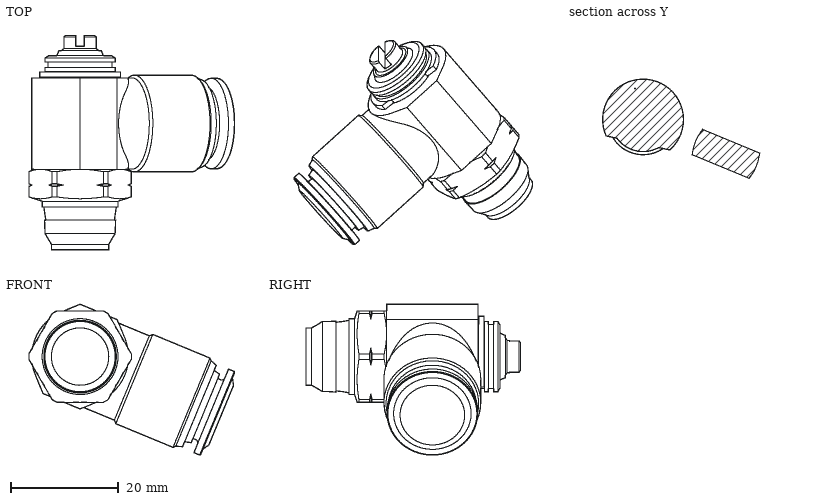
import cadquery as cq
import math

BODY_LENGTH = 17.0
BODY_HALF_WIDTH = 9.0
BODY_FLAT_HALF = BODY_HALF_WIDTH * math.tan(math.radians(22.5))
BODY_ROUND_OFFSET = BODY_HALF_WIDTH * math.cos(math.radians(45))
BODY_TOP = BODY_LENGTH / 2
BODY_BOTTOM = -BODY_LENGTH / 2

ELBOW_TILT = 22.5
NECK_RADIUS = 8.5
COLLAR_RADIUS = 9.0
COLLAR_START = 10.4
COLLAR_CHAMFER = 0.5
COLLAR_END = 22.4
COLLAR_END_CHAMFER = 0.4
CAP_END = 24.0
CAP_END_RADIUS = 8.2
SLEEVE_RADIUS = 7.2
SLEEVE_END = 25.2
SLEEVE_END_RADIUS = 6.9
WAIST_RADIUS = 6.05
WAIST_END = 25.85
WAIST_BEND_REACH = 0.6
WAIST_BEND_RISE = 0.25
RELEASE_START = 26.35
RELEASE_NECK_RADIUS = 6.6
RELEASE_RADIUS = 8.42
RELEASE_CHAMFER = 0.15
RELEASE_END = 27.67
NOSE_BASE_RADIUS = 7.2
NOSE_RADIUS = 6.0
NOSE_END = 28.4

HEX_FLATS = 17.0
HEX_RADIUS = 9.53
HEX_TOP_CHAMFER = 0.45
HEX_BOTTOM_CORNER = -13.64
HEX_BOTTOM = -14.46
HEX_MARK_Y = -11.43
HEX_MARK_RADIUS = 9.05
HEX_MARK_HALF_WIDTH = 0.25

SHOULDER_RADIUS = 7.05
SHOULDER_END = -15.51
RELIEF_TOP_RADIUS = 6.75
RELIEF_BOTTOM_RADIUS = 6.4
THREAD_TOP = -17.92
THREAD_TOP_RADIUS = 6.63
THREAD_BOTTOM = -20.43
THREAD_BOTTOM_RADIUS = 6.53
TIP_TOP = -22.47
TIP_RADIUS = 5.33
TIP_BOTTOM = -23.47

CORE_RADIUS = 5.97
HEAD_RADIUS = 6.55
HEAD_BOTTOM = 9.66
HEAD_GROOVE_BOTTOM = 10.42
HEAD_GROOVE_TOP = 11.38
HEAD_TOP = 12.6
HEAD_CHAMFER_WIDTH = 0.7
HEAD_CHAMFER_HEIGHT = 0.45

GUIDE_BASE_RADIUS = 4.25
GUIDE_TOP_RADIUS = 3.95
GUIDE_BASE_Y = 12.8
GUIDE_FOOT_RADIUS = 4.4
GUIDE_TOP = 13.56
SCREW_FOOT_RADIUS = 3.5
SCREW_BASE = 13.9
SCREW_RADIUS = 3.03
SCREW_TOP = 16.37
SCREW_CHAMFER = 0.3
SLOT_WIDTH = 1.52
SLOT_FLOOR = 14.37

CLIP_RADIUS = 7.53
CLIP_TOP = 9.6
CLIP_BOTTOM = 8.6
CLIP_OPENING_OFFSET = 4.46
CLIP_TURN = 12.5


def at_height(y):
    """Workplane square to Y whose extrusions run toward +Y."""
    return cq.Workplane(cq.Plane(origin=(0, y, 0), xDir=(1, 0, 0), normal=(0, 1, 0)))


def turned(profile):
    """Solid turned about the Y axis from a list of (radius, y) points, closed onto the axis."""
    points = [(0, profile[0][1])] + profile + [(0, profile[-1][1])]
    return cq.Workplane("XY").polyline(points).close().revolve(360, (0, 0, 0), (0, 1, 0))


def make_body():
    """Octagon with two opposite ends rounded; the flats lie parallel to the elbow axis."""
    flat, half, bend = BODY_FLAT_HALF, BODY_HALF_WIDTH, BODY_ROUND_OFFSET
    outline = (
        at_height(BODY_BOTTOM)
        .moveTo(-flat, half)
        .lineTo(flat, half)
        .lineTo(bend, bend)
        .threePointArc((half, 0), (bend, -bend))
        .lineTo(flat, -half)
        .lineTo(-flat, -half)
        .lineTo(-bend, -bend)
        .threePointArc((-half, 0), (-bend, bend))
        .close()
    )
    return outline.extrude(BODY_LENGTH)


def make_elbow():
    """Neck, collar and release sleeve turned about +X, before tilting."""
    waist_middle = (WAIST_END + WAIST_BEND_REACH * (RELEASE_START - WAIST_END),
                    WAIST_RADIUS + WAIST_BEND_RISE * (RELEASE_NECK_RADIUS - WAIST_RADIUS))
    return (
        cq.Workplane("XY")
        .lineTo(0, NECK_RADIUS)
        .lineTo(COLLAR_START, NECK_RADIUS)
        .lineTo(COLLAR_START + COLLAR_CHAMFER, COLLAR_RADIUS)
        .lineTo(COLLAR_END, COLLAR_RADIUS)
        .lineTo(COLLAR_END + COLLAR_END_CHAMFER, COLLAR_RADIUS - COLLAR_END_CHAMFER)
        .lineTo(CAP_END, CAP_END_RADIUS)
        .lineTo(CAP_END, SLEEVE_RADIUS)
        .lineTo(SLEEVE_END, SLEEVE_END_RADIUS)
        .lineTo(SLEEVE_END, WAIST_RADIUS)
        .lineTo(WAIST_END, WAIST_RADIUS)
        .threePointArc(waist_middle, (RELEASE_START, RELEASE_NECK_RADIUS))
        .lineTo(RELEASE_START, RELEASE_RADIUS)
        .lineTo(RELEASE_END - RELEASE_CHAMFER, RELEASE_RADIUS)
        .lineTo(RELEASE_END, RELEASE_RADIUS - RELEASE_CHAMFER)
        .lineTo(RELEASE_END, NOSE_BASE_RADIUS)
        .lineTo(NOSE_END, NOSE_RADIUS)
        .lineTo(NOSE_END, 0)
        .close()
        .revolve(360, (0, 0, 0), (1, 0, 0))
    )


def make_hexagon():
    """Hexagon with turned corners, conical ends and a V-groove marking its corners."""
    across_corners = HEX_FLATS / math.cos(math.radians(30))
    prism = at_height(HEX_BOTTOM).polygon(6, across_corners).extrude(BODY_BOTTOM - HEX_BOTTOM)
    envelope = turned([
        (SHOULDER_RADIUS, HEX_BOTTOM),
        (HEX_RADIUS, HEX_BOTTOM_CORNER),
        (HEX_RADIUS, HEX_MARK_Y - HEX_MARK_HALF_WIDTH),
        (HEX_MARK_RADIUS, HEX_MARK_Y),
        (HEX_RADIUS, HEX_MARK_Y + HEX_MARK_HALF_WIDTH),
        (HEX_RADIUS, BODY_BOTTOM - HEX_TOP_CHAMFER),
        (HEX_FLATS / 2, BODY_BOTTOM),
    ])
    return prism.intersect(envelope)


def make_thread():
    """Shoulder, thread relief, tapered thread and pilot tip."""
    return turned([
        (TIP_RADIUS, TIP_BOTTOM),
        (TIP_RADIUS, TIP_TOP),
        (THREAD_BOTTOM_RADIUS, THREAD_BOTTOM),
        (THREAD_TOP_RADIUS, THREAD_TOP),
        (RELIEF_BOTTOM_RADIUS, THREAD_TOP),
        (RELIEF_TOP_RADIUS, SHOULDER_END),
        (SHOULDER_RADIUS, SHOULDER_END),
        (SHOULDER_RADIUS, HEX_BOTTOM),
    ])


def make_head():
    """Grooved head with the slotted adjusting screw on top."""
    head = turned([
        (CORE_RADIUS, BODY_TOP),
        (CORE_RADIUS, HEAD_BOTTOM),
        (HEAD_RADIUS, HEAD_BOTTOM),
        (HEAD_RADIUS, HEAD_GROOVE_BOTTOM),
        (CORE_RADIUS, HEAD_GROOVE_BOTTOM),
        (CORE_RADIUS, HEAD_GROOVE_TOP),
        (HEAD_RADIUS, HEAD_GROOVE_TOP),
        (HEAD_RADIUS, HEAD_TOP - HEAD_CHAMFER_HEIGHT),
        (HEAD_RADIUS - HEAD_CHAMFER_WIDTH, HEAD_TOP),
        (GUIDE_FOOT_RADIUS, HEAD_TOP),
        (GUIDE_BASE_RADIUS, GUIDE_BASE_Y),
        (GUIDE_TOP_RADIUS, GUIDE_TOP),
        (SCREW_FOOT_RADIUS, GUIDE_TOP),
        (SCREW_RADIUS, SCREW_BASE),
        (SCREW_RADIUS, SCREW_TOP - SCREW_CHAMFER),
        (SCREW_RADIUS - SCREW_CHAMFER, SCREW_TOP),
    ])
    slot = at_height(SLOT_FLOOR).rect(SLOT_WIDTH, 2 * HEAD_RADIUS).extrude(SCREW_TOP - SLOT_FLOOR)
    return head.cut(slot)


def make_clip():
    """Flat ring seated on the head core, cut straight across on its lower side."""
    thickness = CLIP_TOP - CLIP_BOTTOM
    ring = at_height(CLIP_BOTTOM).circle(CLIP_RADIUS).circle(CORE_RADIUS).extrude(thickness)
    opening = cq.Workplane("XY").box(2 * CLIP_RADIUS, thickness, CLIP_RADIUS, centered=(True, False, False))
    opening = opening.translate((0, CLIP_BOTTOM, -CLIP_OPENING_OFFSET - CLIP_RADIUS))
    return ring.cut(opening.rotate((0, 0, 0), (0, 1, 0), CLIP_TURN))


swivel = make_body().union(make_elbow()).rotate((0, 0, 0), (0, 1, 0), ELBOW_TILT)

result = swivel
for piece in (make_hexagon(), make_thread(), make_head(), make_clip()):
    result = result.union(piece)